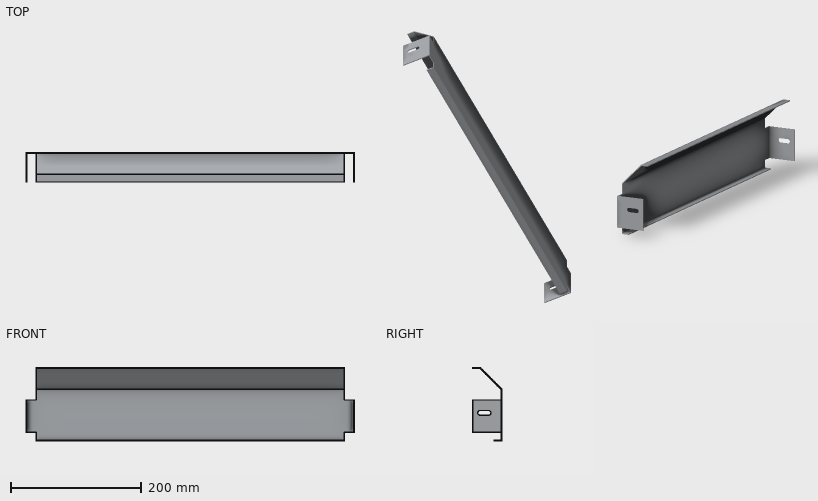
import cadquery as cq
import math

sheet = 1.5
total_length = 504.0
depth = 45.0
height = 113.0

end_setback = 15.5
channel_length = total_length - 2 * end_setback
flange_width = 12.0
slope_run = depth - flange_width
slope_angle = math.radians(45)
slope_rise = slope_run * math.tan(slope_angle)
wall_top = height - slope_rise
miter = sheet * math.tan(slope_angle / 2)

tab_bottom = 13.5
tab_height = 50.0

slot_length = 20.0
slot_width = 7.0
slot_from_back = 27.0
slot_height = tab_bottom + 30.0



def make_channel():
    """Constant section swept along X, centred on X = 0."""
    outline = [
        (-flange_width, 0),
        (0, 0),
        (0, wall_top),
        (-slope_run, height),
        (-depth, height),
        (-depth, height - sheet),
        (-slope_run - miter, height - sheet),
        (-sheet, wall_top - miter),
        (-sheet, sheet),
        (-flange_width, sheet),
    ]
    section = cq.Workplane("YZ").polyline(outline).close()
    return section.extrude(channel_length / 2, both=True)


def make_end_tabs():
    """U-shaped strip: extends the back wall and folds forward at both ends."""
    strip = cq.Workplane("XY").box(total_length, depth, tab_height)
    inside = (
        cq.Workplane("XY")
        .box(total_length - 2 * sheet, depth, tab_height)
        .translate((0, -sheet, 0))
    )
    return strip.cut(inside).translate((0, -depth / 2, tab_bottom + tab_height / 2))


def make_slots():
    """One slot-shaped cutter that passes through both end tabs."""
    return (
        cq.Workplane("YZ")
        .center(-slot_from_back, slot_height)
        .slot2D(slot_length, slot_width)
        .extrude(total_length, both=True)
    )


result = make_channel().union(make_end_tabs()).cut(make_slots())